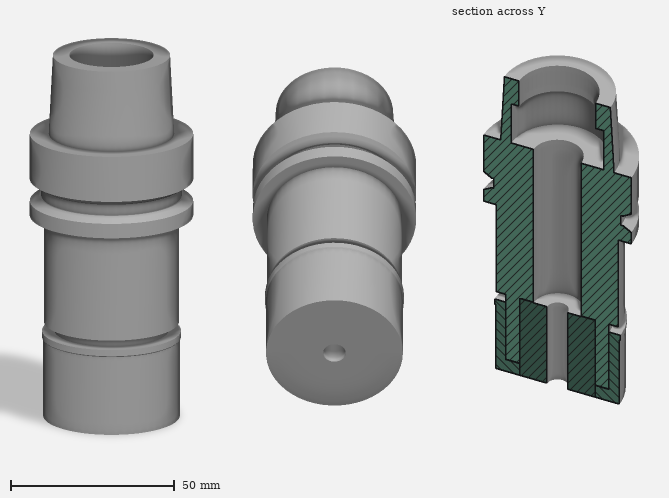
import cadquery as cq

TOTAL_HEIGHT = 115.0
FLANGE_TOP = 89.9
FLANGE_BOTTOM = 63.9
BARREL_BOTTOM = 30.0
NUT_TOP = 27.1

SHANK_TOP_RADIUS = 17.9
SHANK_BASE_RADIUS = 19.2
SHANK_BORE_RADIUS = 12.9
SHANK_LIP_DEPTH = 10.0
UNDERCUT_RADIUS = 15.5
SHANK_BORE_FLOOR = FLANGE_TOP

FLANGE_DIAMETER = 50.0
FLANGE_RADIUS = FLANGE_DIAMETER / 2
GROOVE_RADIUS = 21.5
GROOVE_MOUTH_TOP = 75.5
GROOVE_MOUTH_BOTTOM = 68.5
GROOVE_BEVEL_HEIGHT = 1.7
GROOVE_BEVEL_WIDTH = 2.9
GROOVE_EDGE_RADIUS = FLANGE_RADIUS - GROOVE_BEVEL_WIDTH

BARREL_RADIUS = 20.7
NECK_RADIUS = 17.5
THROUGH_BORE_RADIUS = 8.0

NUT_RADIUS = 20.9
COLLAR_RADIUS = 21.3
COLLAR_HEIGHT = 2.0
COLLAR_BEVEL = COLLAR_RADIUS - NUT_RADIUS
NUT_FLOOR = 4.6

COLLET_RADIUS = 12.6
COLLET_TOP = BARREL_BOTTOM
COLLET_BORE_RADIUS = 3.5


def revolve_profile(points):
    """Revolve a closed (radius, height) outline around the Z axis."""
    return cq.Workplane("XZ").polyline(points).close().revolve(360, (0, 0, 0), (0, 1, 0))


def cylinder(radius, bottom, top):
    """Solid cylinder on the Z axis between two heights."""
    return cq.Workplane("XY").workplane(offset=bottom).circle(radius).extrude(top - bottom)


def make_holder():
    """Shank, grooved flange, barrel and neck, turned as one piece."""
    body = revolve_profile([
        (0, NUT_FLOOR),
        (NECK_RADIUS, NUT_FLOOR),
        (NECK_RADIUS, BARREL_BOTTOM),
        (BARREL_RADIUS, BARREL_BOTTOM),
        (BARREL_RADIUS, FLANGE_BOTTOM),
        (FLANGE_RADIUS, FLANGE_BOTTOM),
        (FLANGE_RADIUS, GROOVE_MOUTH_BOTTOM),
        (GROOVE_EDGE_RADIUS, GROOVE_MOUTH_BOTTOM + GROOVE_BEVEL_HEIGHT),
        (GROOVE_RADIUS, GROOVE_MOUTH_BOTTOM + GROOVE_BEVEL_HEIGHT),
        (GROOVE_RADIUS, GROOVE_MOUTH_TOP - GROOVE_BEVEL_HEIGHT),
        (GROOVE_EDGE_RADIUS, GROOVE_MOUTH_TOP - GROOVE_BEVEL_HEIGHT),
        (FLANGE_RADIUS, GROOVE_MOUTH_TOP),
        (FLANGE_RADIUS, FLANGE_TOP),
        (SHANK_BASE_RADIUS, FLANGE_TOP),
        (SHANK_TOP_RADIUS, TOTAL_HEIGHT),
        (0, TOTAL_HEIGHT),
    ])
    lip_bottom = TOTAL_HEIGHT - SHANK_LIP_DEPTH
    return (
        body
        .cut(cylinder(SHANK_BORE_RADIUS, lip_bottom, TOTAL_HEIGHT))
        .cut(cylinder(UNDERCUT_RADIUS, SHANK_BORE_FLOOR, lip_bottom))
        .cut(cylinder(THROUGH_BORE_RADIUS, COLLET_TOP, SHANK_BORE_FLOOR))
        .cut(cylinder(COLLET_RADIUS, NUT_FLOOR, COLLET_TOP))
    )


def make_nut():
    """Cup-shaped nut with a slightly wider collar at its top edge."""
    collar_bottom = NUT_TOP - COLLAR_HEIGHT
    body = revolve_profile([
        (0, 0),
        (NUT_RADIUS, 0),
        (NUT_RADIUS, collar_bottom - COLLAR_BEVEL),
        (COLLAR_RADIUS, collar_bottom),
        (COLLAR_RADIUS, NUT_TOP),
        (0, NUT_TOP),
    ])
    return (
        body
        .cut(cylinder(NECK_RADIUS, NUT_FLOOR, NUT_TOP))
        .cut(cylinder(COLLET_RADIUS, 0, NUT_FLOOR))
    )


def make_collet():
    """Plain sleeve with the narrow central bore."""
    sleeve = cylinder(COLLET_RADIUS, 0, COLLET_TOP)
    return sleeve.cut(cylinder(COLLET_BORE_RADIUS, 0, COLLET_TOP))


holder = make_holder()
nut = make_nut()
collet = make_collet()

result = cq.Compound.makeCompound([holder.val(), nut.val(), collet.val()])